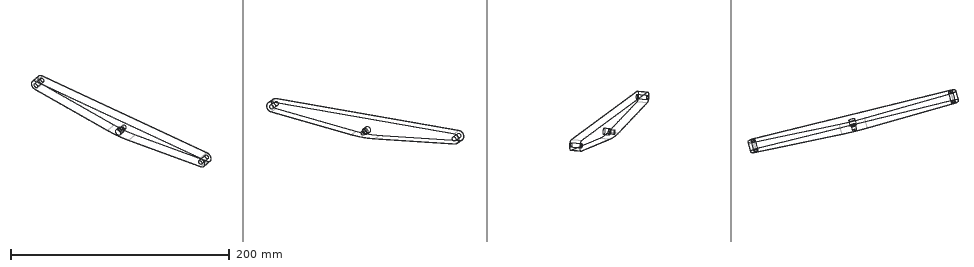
import cadquery as cq
import math

length = 197.0
thickness = 10.0
height = 19.3

end_radius = thickness / 2
crown_radius = 114.3
end_hole_diameter = 4.0
pivot_depth = 15.0
pivot_front_diameter = 6.0
pivot_back_diameter = 4.0
pivot_front_depth = thickness / 2

end_x = length / 2 - end_radius
end_z = -end_radius
crown_center_z = crown_radius - height

center_rise = crown_center_z - end_z
center_distance = math.hypot(end_x, center_rise)
flank_angle = (
    math.asin((crown_radius - end_radius) / center_distance)
    - math.atan2(center_rise, end_x)
)
flank_sin = math.sin(flank_angle)
flank_cos = math.cos(flank_angle)
flank_end_x = end_x + end_radius * flank_sin
flank_end_z = end_z - end_radius * flank_cos
crown_end_x = crown_radius * flank_sin
crown_end_z = crown_center_z - crown_radius * flank_cos


def make_beam():
    """Flat-topped beam with round ends, deepest at mid-length."""
    return (
        cq.Workplane("XZ")
        .moveTo(-end_x, 0)
        .lineTo(end_x, 0)
        .threePointArc((length / 2, end_z), (flank_end_x, flank_end_z))
        .lineTo(crown_end_x, crown_end_z)
        .threePointArc((0, -height), (-crown_end_x, crown_end_z))
        .lineTo(-flank_end_x, flank_end_z)
        .threePointArc((-length / 2, end_z), (-end_x, 0))
        .close()
        .extrude(-thickness)
    )


def make_end_holes():
    """Straight through holes concentric with the round ends."""
    return (
        cq.Workplane("XZ")
        .pushPoints([(side * end_x, end_z) for side in (-1, 1)])
        .circle(end_hole_diameter / 2)
        .extrude(-thickness)
    )


def make_pivot_hole():
    """Stepped through hole, wide at the front, with a 45-degree conical shoulder."""
    radius_front = pivot_front_diameter / 2
    radius_back = pivot_back_diameter / 2
    shoulder_end = pivot_front_depth + radius_front - radius_back
    half_section = [
        (0, 0),
        (radius_front, 0),
        (radius_front, pivot_front_depth),
        (radius_back, shoulder_end),
        (radius_back, thickness),
        (0, thickness),
    ]
    return (
        cq.Workplane("XY")
        .polyline(half_section)
        .close()
        .revolve(360, (0, 0, 0), (0, 1, 0))
        .translate((0, 0, -pivot_depth))
    )


result = make_beam().cut(make_end_holes()).cut(make_pivot_hole())